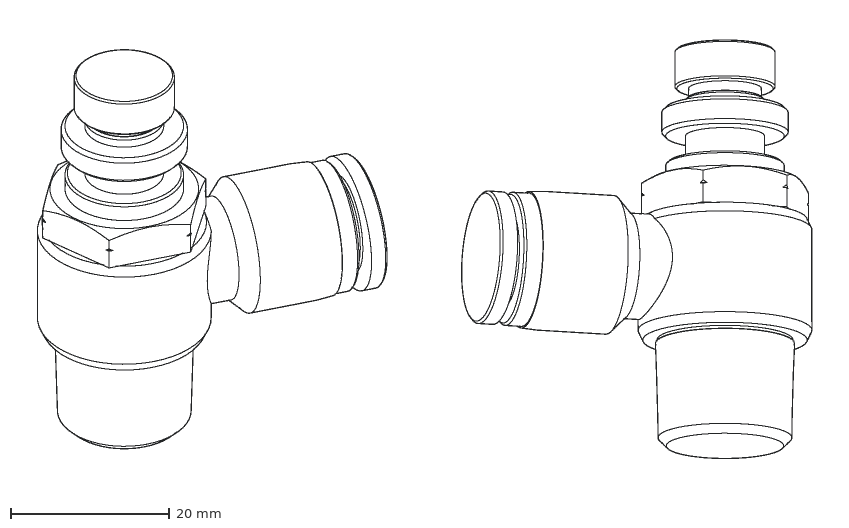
import cadquery as cq
import math


overall_height = 51.2

barrel_radius = 11.0
barrel_bottom_z = -8.85
barrel_top_z = 6.7
barrel_chamfer_width = 0.6
barrel_chamfer_height = 1.25

port_neck_radius = barrel_top_z
port_radius = 8.8
port_mouth_radius = 8.65
port_cone_start_y = 13.0
port_cone_end_y = port_cone_start_y + port_radius - port_neck_radius
port_taper_start_y = 24.1
port_end_y = 26.2

guide_radius = 8.45
guide_end_y = 28.6
guide_chamfer = 0.3
sleeve_neck_radius = 6.0
button_underside_y = 29.8
sleeve_neck_flare = 0.25
button_end_y = 32.0
button_half_width = 9.5
button_half_height = 8.35
button_chamfer = 0.3

stem_bottom_z = -22.55
shank_radius = 8.6
thread_relief_height = 0.4
thread_top_z = barrel_bottom_z - thread_relief_height
thread_top_radius = 8.77
thread_land_height = 1.2
thread_taper_start_z = thread_top_z - thread_land_height
thread_tip_radius = 8.47
thread_chamfer = 1.05
hex_sides = 6
hex_across_flats = 19.0
hex_height = 5.0
hex_top_z = barrel_top_z + hex_height
hex_chamfer_height = 0.9
hex_face_radius = 9.4
corner_nick_z = barrel_top_z + hex_height / 2
corner_nick_depth = 0.24
corner_nick_height = 0.35
collar_radius = 7.5
collar_height = 2.35
collar_top_z = hex_top_z + collar_height
collar_chamfer = 0.3

rod_radius = 5.0
rod_top_z = 22.45
rod_chamfer = 0.3
ring_radius = 8.0
ring_bottom_z = 17.55
ring_top_z = 21.1
ring_chamfer = 0.5
relief_radius = 4.6
knob_radius = 6.35
knob_bottom_z = 23.7
knob_top_z = stem_bottom_z + overall_height
knob_chamfer = 0.25


def turned_about_z(profile):
    """Revolve a closed (radius, z) outline about the Z axis."""
    return cq.Workplane("XZ").polyline(profile).close().revolve(360, (0, 0), (0, 1))


def turned_about_y(profile):
    """Revolve a closed (radius, y) outline about the Y axis."""
    return cq.Workplane("XY").polyline(profile).close().revolve(360, (0, 0), (0, 1))


def cylinder_z(radius, bottom, top):
    return cq.Workplane("XY").workplane(offset=bottom).circle(radius).extrude(top - bottom)


def make_elbow():
    rim_radius = barrel_radius - barrel_chamfer_width
    barrel = turned_about_z([
        (0, barrel_bottom_z),
        (rim_radius, barrel_bottom_z),
        (barrel_radius, barrel_bottom_z + barrel_chamfer_height),
        (barrel_radius, barrel_top_z - barrel_chamfer_height),
        (rim_radius, barrel_top_z),
        (0, barrel_top_z),
    ])
    port = turned_about_y([
        (0, 0),
        (port_neck_radius, 0),
        (port_neck_radius, port_cone_start_y),
        (port_radius, port_cone_end_y),
        (port_radius, port_taper_start_y),
        (port_mouth_radius, port_end_y),
        (0, port_end_y),
    ])
    bore = cylinder_z(shank_radius, barrel_bottom_z, barrel_top_z)
    return barrel.union(port).cut(bore)


def make_release_sleeve():
    sleeve = turned_about_y([
        (0, port_end_y),
        (guide_radius, port_end_y),
        (guide_radius, guide_end_y - guide_chamfer),
        (guide_radius - guide_chamfer, guide_end_y),
        (sleeve_neck_radius, guide_end_y),
        (sleeve_neck_radius, button_underside_y - sleeve_neck_flare),
        (sleeve_neck_radius + sleeve_neck_flare, button_underside_y),
        (0, button_underside_y),
    ])
    button = (
        cq.Workplane("XZ", origin=(0, button_underside_y, 0))
        .ellipse(button_half_width, button_half_height)
        .extrude(button_underside_y - button_end_y)
        .faces(">Y")
        .chamfer(button_chamfer)
    )
    return sleeve.union(button)


def make_hexagon():
    """Hexagon with two flats facing +X and -X, its top corners turned off by a cone.

    A small turned nick, flat below and sloping above, crosses each upright edge at mid-height.
    """
    flat_radius = hex_across_flats / 2
    corner_radius = flat_radius / math.cos(math.pi / hex_sides)
    prism = (
        cq.Workplane("XY", origin=(0, 0, barrel_top_z))
        .transformed(rotate=(0, 0, 180 / hex_sides))
        .polygon(hex_sides, 2 * corner_radius)
        .extrude(hex_height)
    )
    turned_blank = turned_about_z([
        (0, barrel_top_z),
        (corner_radius, barrel_top_z),
        (corner_radius, corner_nick_z),
        (corner_radius - corner_nick_depth, corner_nick_z),
        (corner_radius, corner_nick_z + corner_nick_height),
        (corner_radius, hex_top_z - hex_chamfer_height),
        (hex_face_radius, hex_top_z),
        (0, hex_top_z),
    ])
    return prism.intersect(turned_blank)


def make_stem():
    threaded_shank = turned_about_z([
        (0, stem_bottom_z),
        (thread_tip_radius - thread_chamfer, stem_bottom_z),
        (thread_tip_radius, stem_bottom_z + thread_chamfer),
        (thread_top_radius, thread_taper_start_z),
        (thread_top_radius, thread_top_z),
        (shank_radius, thread_top_z),
        (shank_radius, barrel_top_z),
        (0, barrel_top_z),
    ])
    collar = cylinder_z(collar_radius, hex_top_z, collar_top_z).faces(">Z").chamfer(collar_chamfer)
    return threaded_shank.union(make_hexagon()).union(collar)


def make_needle():
    return turned_about_z([
        (0, collar_top_z),
        (rod_radius, collar_top_z),
        (rod_radius, ring_bottom_z),
        (ring_radius - ring_chamfer, ring_bottom_z),
        (ring_radius, ring_bottom_z + ring_chamfer),
        (ring_radius, ring_top_z - ring_chamfer),
        (ring_radius - ring_chamfer, ring_top_z),
        (rod_radius, ring_top_z),
        (rod_radius, rod_top_z - rod_chamfer),
        (rod_radius - rod_chamfer, rod_top_z),
        (relief_radius, rod_top_z),
        (relief_radius, knob_bottom_z),
        (knob_radius - knob_chamfer, knob_bottom_z),
        (knob_radius, knob_bottom_z + knob_chamfer),
        (knob_radius, knob_top_z - knob_chamfer),
        (knob_radius - knob_chamfer, knob_top_z),
        (0, knob_top_z),
    ])


elbow = make_elbow()
release_sleeve = make_release_sleeve()
stem = make_stem()
needle = make_needle()

result = cq.Compound.makeCompound([
    elbow.val(),
    release_sleeve.val(),
    stem.val(),
    needle.val(),
])